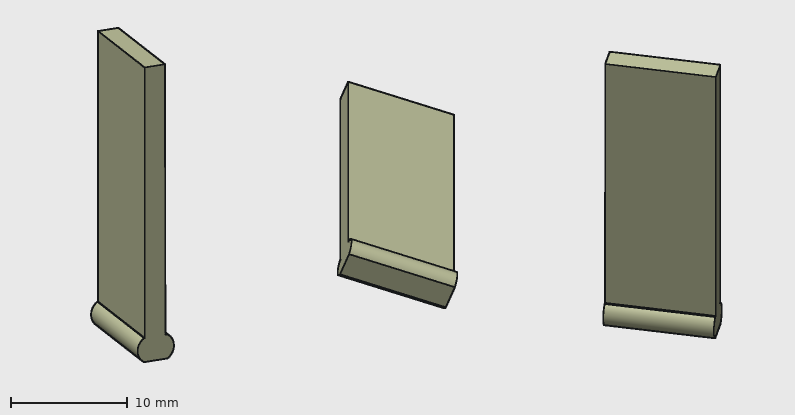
import cadquery as cq

width = 9.7
height = 27.0

bead_depth = 3.43
bead_height = 2.21
bead_flat_half = 1.1

blade_front = -1.05
blade_back_bottom = 0.92
blade_back_top = 0.86

bead_half = bead_depth / 2
bead_middle = bead_height / 2

result = (
    cq.Workplane("YZ")
    .moveTo(-bead_flat_half, 0)
    .lineTo(bead_flat_half, 0)
    .threePointArc((bead_half, bead_middle), (bead_flat_half, bead_height))
    .lineTo(blade_back_bottom, bead_height)
    .lineTo(blade_back_top, height)
    .lineTo(blade_front, height)
    .lineTo(blade_front, bead_height)
    .lineTo(-bead_flat_half, bead_height)
    .threePointArc((-bead_half, bead_middle), (-bead_flat_half, 0))
    .close()
    .extrude(width / 2, both=True)
)